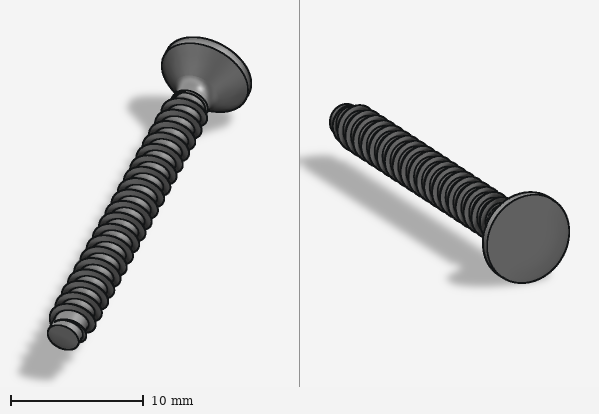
import cadquery as cq
import math


LENGTH = 30.0
HEAD_DIAMETER = 7.0
HEAD_RIM_HEIGHT = 0.7
NECK_DIAMETER = 2.8
NECK_FILLET_RADIUS = 1.3
NECK_END = 3.66
CORE_DIAMETER = 2.52
CONE_ANGLE = math.radians(45)

PITCH = 1.287
THREAD_DIAMETER = 3.52
CREST_WIDTH = 0.04
SHOULDER_WIDTH = 0.26
SHOULDER_HEIGHT = 0.1
TIP_SIDE_FOOT = 0.2
HEAD_SIDE_FOOT = 0.56
FOOT_SINK = 0.05
CREST_HEIGHT_AT_PLUS_X = 2.25
THREAD_START = 0.3
THREAD_END = LENGTH - 3.3
RUNOUT_TURNS = 1.35
END_SINK = 0.1
POINTS_PER_TURN = 16

HEAD_RADIUS = HEAD_DIAMETER / 2
NECK_RADIUS = NECK_DIAMETER / 2
CORE_RADIUS = CORE_DIAMETER / 2
THREAD_DEPTH = THREAD_DIAMETER / 2 - CORE_RADIUS


def make_body():
    """Head, filleted neck and plain core as one turned profile."""
    cone_end_radius = NECK_RADIUS + NECK_FILLET_RADIUS * (1 - math.cos(CONE_ANGLE))
    cone_end_y = -HEAD_RIM_HEIGHT - (HEAD_RADIUS - cone_end_radius) / math.tan(CONE_ANGLE)
    fillet_end_y = cone_end_y - NECK_FILLET_RADIUS * math.sin(CONE_ANGLE)
    half_angle = CONE_ANGLE / 2
    fillet_middle = (
        NECK_RADIUS + NECK_FILLET_RADIUS * (1 - math.cos(half_angle)),
        fillet_end_y + NECK_FILLET_RADIUS * math.sin(half_angle),
    )
    neck_step = NECK_RADIUS - CORE_RADIUS
    profile = (
        cq.Workplane("XY")
        .lineTo(HEAD_RADIUS, 0)
        .lineTo(HEAD_RADIUS, -HEAD_RIM_HEIGHT)
        .lineTo(cone_end_radius, cone_end_y)
        .threePointArc(fillet_middle, (NECK_RADIUS, fillet_end_y))
        .lineTo(NECK_RADIUS, -NECK_END)
        .lineTo(CORE_RADIUS, -NECK_END - neck_step)
        .lineTo(CORE_RADIUS, -LENGTH)
        .lineTo(0, -LENGTH)
        .close()
    )
    return profile.revolve(360, (0, 0, 0), (0, 1, 0))


def runout_drop(turn, total_turns):
    """Radial amount by which the thread is sunk at a given turn: zero along the middle."""
    nearest_end = min(turn, total_turns - turn)
    progress = min(nearest_end / RUNOUT_TURNS, 1)
    return (THREAD_DEPTH + END_SINK) * (1 - math.sin(progress * math.pi / 2))


def thread_edge(radius, axial_offset):
    """Helical edge traced by one corner of the thread section."""
    total_turns = (THREAD_END - THREAD_START) / PITCH
    steps = math.ceil(total_turns * POINTS_PER_TURN)
    points = []
    for step in range(steps + 1):
        turn = total_turns * step / steps
        height = THREAD_START + turn * PITCH
        angle = 2 * math.pi * (height - CREST_HEIGHT_AT_PLUS_X) / PITCH
        local_radius = radius - runout_drop(turn, total_turns)
        points.append(
            cq.Vector(
                local_radius * math.cos(angle),
                height + axial_offset - LENGTH,
                -local_radius * math.sin(angle),
            )
        )
    return cq.Edge.makeSpline(points)


def make_thread():
    """Thread ridge bounded by ruled helical faces and a flat cap at each end."""
    foot_radius = CORE_RADIUS - FOOT_SINK
    shoulder_radius = CORE_RADIUS + SHOULDER_HEIGHT
    crest_radius = CORE_RADIUS + THREAD_DEPTH
    section = [
        (foot_radius, -TIP_SIDE_FOOT),
        (shoulder_radius, -SHOULDER_WIDTH / 2),
        (crest_radius, -CREST_WIDTH / 2),
        (crest_radius, CREST_WIDTH / 2),
        (shoulder_radius, SHOULDER_WIDTH / 2),
        (foot_radius, HEAD_SIDE_FOOT),
    ]
    edges = [thread_edge(radius, offset) for radius, offset in section]
    next_edges = edges[1:] + edges[:1]
    faces = [cq.Face.makeRuledSurface(a, b) for a, b in zip(edges, next_edges)]
    for corners in ([e.startPoint() for e in edges], [e.endPoint() for e in edges]):
        faces.append(cq.Face.makeFromWires(cq.Wire.makePolygon(corners, close=True)))
    return cq.Solid.makeSolid(cq.Shell.makeShell(faces))


result = make_body().union(cq.Workplane(obj=make_thread())).solids()